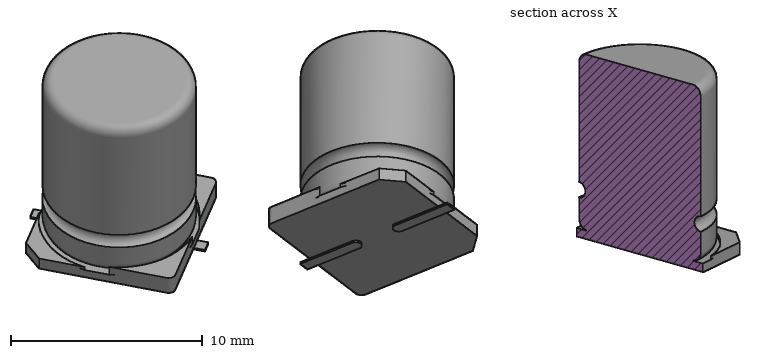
import cadquery as cq

total_height = 10.51
lead_span = 9.5

base_size = 8.3
base_low_height = 0.7
base_high_height = 1.04
base_chamfer = 1.0
base_corner_radius = 0.37
recess_radius = 4.2
recess_floor_height = 0.5

can_radius = 4.01
can_edge_radius = 0.55
groove_center_z = 2.8
groove_half_height = 0.43
groove_depth = 0.41

lead_thickness = 0.12
lead_width = 0.64
lead_inner_end = 1.07

can_bottom_z = lead_thickness + recess_floor_height


def make_base():
    """Plate with a raised +X half and a round recess that seats the can."""
    plate = (
        cq.Workplane("XY")
        .workplane(offset=lead_thickness)
        .rect(base_size, base_size)
        .extrude(base_high_height)
        .edges("|Z and <X")
        .chamfer(base_chamfer)
        .edges("|Z and >X")
        .fillet(base_corner_radius)
    )
    step = (
        cq.Workplane("XY")
        .workplane(offset=lead_thickness + base_low_height)
        .center(-base_size / 2, 0)
        .rect(base_size, base_size)
        .extrude(base_high_height - base_low_height)
    )
    recess = (
        cq.Workplane("XY")
        .workplane(offset=can_bottom_z)
        .circle(recess_radius)
        .extrude(base_high_height - recess_floor_height)
    )
    return plate.cut(step).cut(recess)


def make_can():
    """Can with rounded end edges and a rolled groove near the bottom."""
    can = (
        cq.Workplane("XY")
        .workplane(offset=can_bottom_z)
        .circle(can_radius)
        .extrude(total_height - can_bottom_z)
        .edges()
        .fillet(can_edge_radius)
    )
    groove = (
        cq.Workplane("XZ")
        .moveTo(can_radius, groove_center_z - groove_half_height)
        .threePointArc(
            (can_radius - groove_depth, groove_center_z),
            (can_radius, groove_center_z + groove_half_height),
        )
        .close()
        .revolve(360, (0, 0, 0), (0, 1, 0))
    )
    return can.cut(groove)


def make_lead(side):
    """Flat lead with a semicircular inner end; side is -1 for -X and +1 for +X."""
    half_width = lead_width / 2
    outer_x = side * lead_span / 2
    inner_x = side * lead_inner_end
    arc_start_x = inner_x + side * half_width
    return (
        cq.Workplane("XY")
        .moveTo(outer_x, -half_width)
        .lineTo(arc_start_x, -half_width)
        .threePointArc((inner_x, 0), (arc_start_x, half_width))
        .lineTo(outer_x, half_width)
        .close()
        .extrude(lead_thickness)
    )


result = make_base().union(make_can())
for lead_side in (-1, 1):
    result = result.union(make_lead(lead_side))